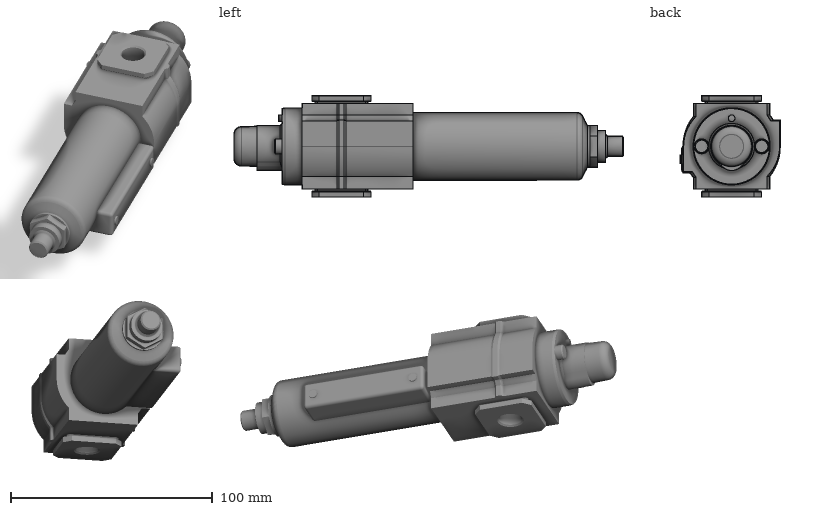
import cadquery as cq
import math


KNOB_TIP_Y = 53.3
KNOB_BASE_Y = 41.9
BONNET_TOP_Y = 29.3
BLOCK_TOP_Y = 19.5
BLOCK_BOTTOM_Y = -35.5
BOWL_CORNER_Y = -118.5
BOWL_END_Y = -121.8
HEX_START_Y = -123.2
HEX_END_Y = -126.8
COLLAR_END_Y = -130.9
NECK_END_Y = -131.9
TOTAL_LENGTH = 193.0
DRAIN_TIP_Y = KNOB_TIP_Y - TOTAL_LENGTH

BLOCK_HALF_Z = 21.2
FLANK_X = 17.5
ARM_X = 23.7
SHELF_Z = 12.5
SLOPE_START_Z = 15.5
SLOPE_FOOT_X = 19.5
ARC_END_Z = 14.9
BLOCK_SIZES = (FLANK_X, ARM_X, SLOPE_FOOT_X, SHELF_Z)

BAND_FLANK_X = 19.0
BAND_ARM_X = 24.1
BAND_SLOPE_FOOT_X = 20.7
BAND_SHELF_Z = 13.1
BAND_BASE_WIDTH = 4.6
BAND_CREST_WIDTH = 2.5

PORT_FACE_Z = 25.0
PORT_PLATE_THICKNESS = 2.9
PORT_PLATE_WIDTH = 29.7
PORT_PLATE_LENGTH = 29.3
PORT_PLATE_CHAMFER = 3.7
PORT_UNDERSIDE_CHAMFER = 0.4
PORT_NECK_SIZE = 26.3
PORT_NECK_CHAMFER = 1.2
PORT_HOLE_RADIUS = 5.8
PORT_MOUTH_RADIUS = 6.5
PORT_HOLE_DEPTH = 11.5

BONNET_RADIUS = 19.1
BONNET_CHAMFER_LENGTH = 1.4
BONNET_CHAMFER_DEPTH = 0.4
STEM_RADIUS = 10.5
STEM_FOOT_RADIUS = 1.0
KNOB_BASE_RADIUS = 10.0
KNOB_TIP_RADIUS = 9.7
KNOB_ROUNDING = 3.9
LOBE_RADIUS = 6.4
LOBE_REACH = 12.0
SCREW_X = 14.9
SCREW_RADIUS = 3.7
SCREW_HEIGHT = 3.9
SCREW_CHAMFER = 0.5
PEG_Z = 13.9
PEG_RADIUS = 1.65
PEG_HEIGHT = 1.7

BOWL_RADIUS = 16.8
BOWL_END_RADIUS = 10.5
BOWL_ROUNDING = 3.0

GAUGE_X = 24.7
GAUGE_TOP_Y = -37.5
GAUGE_BOTTOM_Y = -100.0
GAUGE_TOP_Z = 0.4
GAUGE_BOTTOM_Z = -13.1
GAUGE_ROUNDING = 1.5
BUTTON_RADIUS = 2.1
BUTTON_HEIGHT = 0.8
BUTTON_SPACING = 52.1

HEX_ACROSS_FLATS = 18.0
COLLAR_RADIUS = 8.0
NECK_RADIUS = 6.0
TIP_RADIUS = 5.0
TIP_CHAMFER = 0.68


def along_y(y):
    """Sketch plane at height y whose local axes are X and Z and whose normal is -Y."""
    return cq.Workplane("XZ", origin=(0, y, 0))


def rod(radius, y_top, y_bottom, x=0, z=0):
    """Round bar parallel to Y."""
    return along_y(y_top).center(x, z).circle(radius).extrude(y_top - y_bottom)


def turned(points):
    """Solid of revolution about Y from (radius, y) points that start and end on the axis."""
    return cq.Workplane("XY").polyline(points).close().revolve(360, (0, 0, 0), (0, 1, 0))


def block_section(y, flank_x, arm_x, slope_foot_x, shelf_z):
    """Block outline, which repeats itself after half a turn about Y."""
    inset = arm_x - flank_x
    arc_radius = (inset**2 + ARC_END_Z**2) / (2 * inset)
    mid_angle = math.asin(ARC_END_Z / arc_radius) / 2
    mid_x = arm_x - arc_radius * (1 - math.cos(mid_angle))
    mid_z = arc_radius * math.sin(mid_angle)

    outline = along_y(y).moveTo(-flank_x, BLOCK_HALF_Z)
    for side in (1, -1):
        outline = (
            outline.lineTo(side * flank_x, side * BLOCK_HALF_Z)
            .lineTo(side * flank_x, side * ARC_END_Z)
            .threePointArc((side * mid_x, side * mid_z), (side * arm_x, 0))
            .lineTo(side * arm_x, -side * shelf_z)
            .lineTo(side * slope_foot_x, -side * shelf_z)
            .lineTo(side * flank_x, -side * SLOPE_START_Z)
            .lineTo(side * flank_x, -side * BLOCK_HALF_Z)
        )
    return outline.close()


def make_band_half(side):
    """Half of the raised band, which slopes from the block surface up to its crest."""
    crest_sizes = (BAND_FLANK_X, BAND_ARM_X, BAND_SLOPE_FOOT_X, BAND_SHELF_Z)
    foot = block_section(side * BAND_BASE_WIDTH / 2, *BLOCK_SIZES).val()
    crest_edge = block_section(side * BAND_CREST_WIDTH / 2, *crest_sizes).val()
    crest_middle = block_section(0, *crest_sizes).val()
    bevel = cq.Solid.makeLoft([foot, crest_edge], True)
    crest = cq.Solid.makeLoft([crest_edge, crest_middle], True)
    return cq.Workplane(bevel).union(cq.Workplane(crest))


def make_port(side):
    """Chamfered square plate on a narrower neck; side is +1 for +Z and -1 for -Z."""
    plate_foot_z = PORT_FACE_Z - PORT_PLATE_THICKNESS
    neck = (
        cq.Workplane("XY")
        .rect(PORT_NECK_SIZE, PORT_NECK_SIZE)
        .extrude(side * plate_foot_z)
        .edges("|Z")
        .chamfer(PORT_NECK_CHAMFER)
    )
    plate = (
        cq.Workplane("XY", origin=(0, 0, side * plate_foot_z))
        .rect(PORT_PLATE_WIDTH, PORT_PLATE_LENGTH)
        .extrude(side * PORT_PLATE_THICKNESS)
        .edges("|Z")
        .chamfer(PORT_PLATE_CHAMFER)
        .faces("<Z" if side > 0 else ">Z")
        .chamfer(PORT_UNDERSIDE_CHAMFER)
    )
    return neck.union(plate)


def make_port_hole(side):
    """Blind hole with a 45 degree countersunk mouth."""
    mouth_depth = PORT_MOUTH_RADIUS - PORT_HOLE_RADIUS
    floor_z = PORT_FACE_Z - PORT_HOLE_DEPTH
    profile = [
        (0, side * floor_z),
        (PORT_HOLE_RADIUS, side * floor_z),
        (PORT_HOLE_RADIUS, side * (PORT_FACE_Z - mouth_depth)),
        (PORT_MOUTH_RADIUS, side * PORT_FACE_Z),
        (0, side * PORT_FACE_Z),
    ]
    return cq.Workplane("XZ").polyline(profile).close().revolve(360, (0, 0, 0), (0, 1, 0))


def make_housing():
    """Block with its raised band and two ports."""
    block = block_section(BLOCK_TOP_Y, *BLOCK_SIZES)
    housing = block.extrude(BLOCK_TOP_Y - BLOCK_BOTTOM_Y)
    for side in (1, -1):
        housing = housing.union(make_band_half(side))
    for side in (1, -1):
        housing = housing.union(make_port(side)).cut(make_port_hole(side))
    return housing


def make_stem_lobe():
    """Rounded lobe on the -Z side of the stem, with 45 degree sides tangent to the stem."""
    diagonal = math.sqrt(0.5)
    centre_z = LOBE_REACH - LOBE_RADIUS
    stem_tangent = STEM_RADIUS * diagonal
    tip_tangent_x = LOBE_RADIUS * diagonal
    tip_tangent_z = centre_z + LOBE_RADIUS * diagonal
    return (
        along_y(KNOB_BASE_Y)
        .moveTo(0, 0)
        .lineTo(stem_tangent, -stem_tangent)
        .lineTo(tip_tangent_x, -tip_tangent_z)
        .threePointArc((0, -LOBE_REACH), (-tip_tangent_x, -tip_tangent_z))
        .lineTo(-stem_tangent, -stem_tangent)
        .close()
        .extrude(KNOB_BASE_Y - BONNET_TOP_Y)
    )


def make_bonnet():
    """Round bonnet with its stem, knob, lobe, two screw heads and a peg."""
    flange = turned([
        (0, BLOCK_TOP_Y),
        (BONNET_RADIUS, BLOCK_TOP_Y),
        (BONNET_RADIUS, BONNET_TOP_Y - BONNET_CHAMFER_LENGTH),
        (BONNET_RADIUS - BONNET_CHAMFER_DEPTH, BONNET_TOP_Y),
        (0, BONNET_TOP_Y),
    ])
    stem = turned([
        (0, BONNET_TOP_Y),
        (STEM_RADIUS + STEM_FOOT_RADIUS, BONNET_TOP_Y),
        (STEM_RADIUS, BONNET_TOP_Y + STEM_FOOT_RADIUS),
        (STEM_RADIUS, KNOB_BASE_Y),
        (0, KNOB_BASE_Y),
    ])
    knob = turned([
        (0, KNOB_BASE_Y),
        (KNOB_BASE_RADIUS, KNOB_BASE_Y),
        (KNOB_TIP_RADIUS, KNOB_TIP_Y),
        (0, KNOB_TIP_Y),
    ])
    knob = knob.faces(">Y").edges().fillet(KNOB_ROUNDING)
    peg = rod(PEG_RADIUS, BONNET_TOP_Y + PEG_HEIGHT, BONNET_TOP_Y, z=PEG_Z)
    bonnet = flange.union(stem).union(knob).union(make_stem_lobe()).union(peg)
    for x in (-SCREW_X, SCREW_X):
        screw = rod(SCREW_RADIUS, BONNET_TOP_Y + SCREW_HEIGHT, BONNET_TOP_Y, x=x)
        bonnet = bonnet.union(screw.faces(">Y").chamfer(SCREW_CHAMFER))
    return bonnet


def make_bowl():
    """Cylinder with a rounded shoulder and a conical end."""
    bowl = turned([
        (0, BLOCK_BOTTOM_Y),
        (BOWL_RADIUS, BLOCK_BOTTOM_Y),
        (BOWL_RADIUS, BOWL_CORNER_Y),
        (BOWL_END_RADIUS, BOWL_END_Y),
        (0, BOWL_END_Y),
    ])
    reach = 2 * BOWL_RADIUS
    margin = 0.2
    on_corner = cq.selectors.BoxSelector(
        (-reach, BOWL_CORNER_Y - margin, -reach),
        (reach, BOWL_CORNER_Y + margin, reach),
    )
    return bowl.edges(on_corner).fillet(BOWL_ROUNDING)


def make_gauge():
    """Box that fits against the bowl wall, with two round buttons on its +X face."""
    length = GAUGE_TOP_Y - GAUGE_BOTTOM_Y
    middle_y = (GAUGE_TOP_Y + GAUGE_BOTTOM_Y) / 2
    middle_z = (GAUGE_TOP_Z + GAUGE_BOTTOM_Z) / 2
    gauge = (
        along_y(GAUGE_TOP_Y)
        .center(GAUGE_X / 2, middle_z)
        .rect(GAUGE_X, GAUGE_TOP_Z - GAUGE_BOTTOM_Z)
        .extrude(length)
        .edges("|X or >X")
        .fillet(GAUGE_ROUNDING)
    )
    for offset in (-BUTTON_SPACING / 2, BUTTON_SPACING / 2):
        button = (
            cq.Workplane("YZ", origin=(GAUGE_X, middle_y + offset, middle_z))
            .circle(BUTTON_RADIUS)
            .extrude(BUTTON_HEIGHT)
        )
        gauge = gauge.union(button)
    return gauge.cut(rod(BOWL_RADIUS, BLOCK_BOTTOM_Y, BOWL_END_Y))


def make_drain():
    """Washer, hexagon, collar and tip below the bowl."""
    washer = rod(BOWL_END_RADIUS, BOWL_END_Y, HEX_START_Y)
    hexagon = (
        along_y(HEX_START_Y)
        .transformed(rotate=(0, 0, 90))
        .polygon(6, HEX_ACROSS_FLATS / math.cos(math.pi / 6))
        .extrude(HEX_START_Y - HEX_END_Y)
    )
    stem = turned([
        (0, HEX_END_Y),
        (COLLAR_RADIUS, HEX_END_Y),
        (COLLAR_RADIUS, COLLAR_END_Y),
        (NECK_RADIUS, COLLAR_END_Y),
        (TIP_RADIUS, NECK_END_Y),
        (TIP_RADIUS, DRAIN_TIP_Y + TIP_CHAMFER),
        (TIP_RADIUS - TIP_CHAMFER, DRAIN_TIP_Y),
        (0, DRAIN_TIP_Y),
    ])
    return washer.union(hexagon).union(stem)


housing = make_housing()
bonnet = make_bonnet()
bowl = make_bowl()
gauge = make_gauge()
drain = make_drain()

result = cq.Compound.makeCompound([
    housing.val(),
    bonnet.val(),
    bowl.val(),
    gauge.val(),
    drain.val(),
])